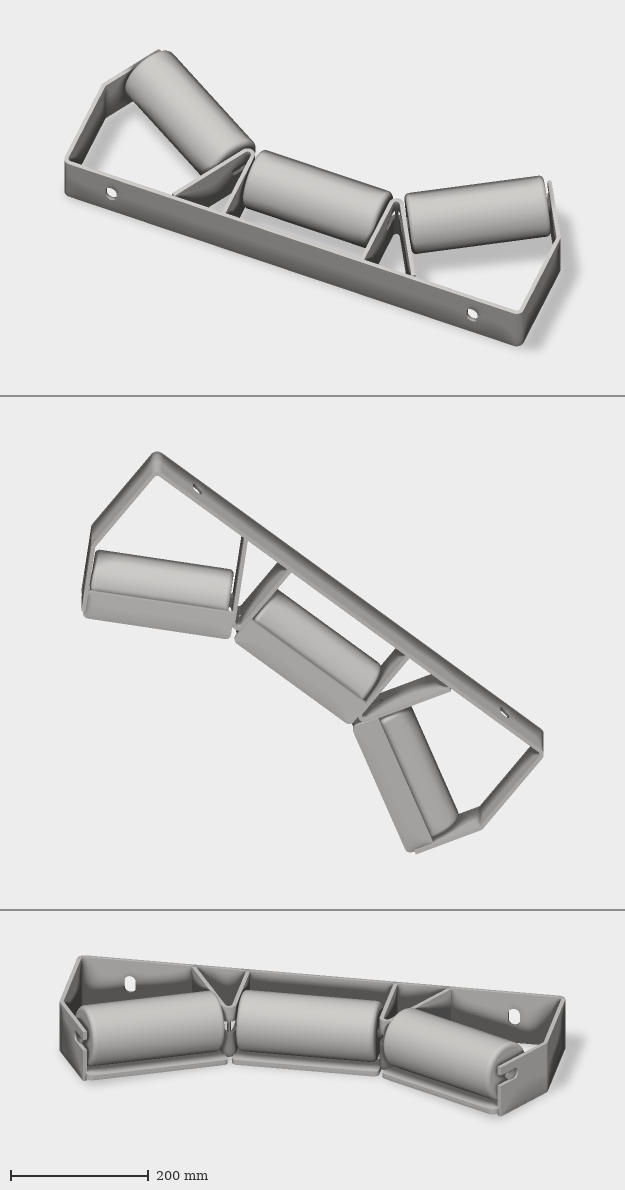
import cadquery as cq
import math

STRIP_HEIGHT = 80.0
STRIP_THICKNESS = 6.0
INNER_BEND_RADIUS = 5.0
OUTER_BEND_RADIUS = INNER_BEND_RADIUS + STRIP_THICKNESS

TROUGH_ANGLE = 30.0
WING_TILT = 2.6
SUPPORT_GAP = 212.0
MIDDLE_AXIS_Y = 101.0
MIDDLE_AXIS_Z = 48.0
WING_CENTRE_X = 225.0
WING_CENTRE_Y = 161.0
WING_CENTRE_Z = 53.0
SIDES = (-1, 0, 1)
WING_SIDES = (-1, 1)

ROLLER_RADIUS = 45.0
ROLLER_LENGTH = 203.0
ROLLER_EDGE_FILLET = 6.5
SHAFT_RADIUS = 10.0
SHAFT_FLAT_WIDTH = 14.0
SHAFT_LENGTH = 217.0

SHAFT_SLOT_WIDTH = 17.0
SHAFT_SLOT_REACH = 72.0

PLATE_LENGTH = SHAFT_LENGTH
PLATE_THICKNESS = 8.0
PLATE_BACK = 40.0
PLATE_FRONT = 1.5
PLATE_CORNER_RADIUS = 8.0
WING_PLATE_SHIFT = 2.0

FRAME_LENGTH = 720.0
FRAME_END_PAST_AXIS = 28.0
MOUNT_SLOT_SPACING = 567.0
MOUNT_SLOT_WIDTH = 17.0
MOUNT_SLOT_HEIGHT = 28.0
MOUNT_SLOT_Z = 41.0

SIN = math.sin(math.radians(TROUGH_ANGLE))
COS = math.cos(math.radians(TROUGH_ANGLE))
INNER_SUPPORT = SUPPORT_GAP / 2
OUTER_SUPPORT = INNER_SUPPORT + STRIP_THICKNESS
CUT_MARGIN = 1.5


def place(body, side):
    """Move a body built around the X axis to the middle, left or right roller."""
    if side == 0:
        return body.translate((0, MIDDLE_AXIS_Y, MIDDLE_AXIS_Z))
    tilted = body.rotate((0, 0, 0), (0, 1, 0), -side * WING_TILT)
    swung = tilted.rotate((0, 0, 0), (0, 0, 1), side * TROUGH_ANGLE)
    return swung.translate((side * WING_CENTRE_X, WING_CENTRE_Y, WING_CENTRE_Z))


def along_x(radius, length):
    """Cylinder centred on the origin with its axis along X."""
    return cq.Workplane("YZ", origin=(-length / 2, 0, 0)).circle(radius).extrude(length)


def make_roller():
    """Drum with rounded rims and a flatted shaft end on each side."""
    drum = along_x(ROLLER_RADIUS, ROLLER_LENGTH).edges().fillet(ROLLER_EDGE_FILLET)
    flats = cq.Workplane("XY").box(SHAFT_LENGTH, 2 * SHAFT_RADIUS, SHAFT_FLAT_WIDTH)
    shaft = along_x(SHAFT_RADIUS, SHAFT_LENGTH).intersect(flats)
    return drum.union(shaft)


def make_shaft_slot():
    """Cutter that clears the shaft through both supports and opens toward +Y."""
    length = 2 * (OUTER_SUPPORT + CUT_MARGIN)
    opening = (
        cq.Workplane("XY")
        .box(length, SHAFT_SLOT_REACH, SHAFT_SLOT_WIDTH)
        .translate((0, SHAFT_SLOT_REACH / 2, 0))
    )
    band = cq.Workplane("XY").box(length, 2 * SHAFT_RADIUS, SHAFT_SLOT_WIDTH)
    return opening.union(along_x(SHAFT_RADIUS, length).intersect(band))


def make_plate(side):
    """Plate touching the underside of the roller, with its +Y corners rounded."""
    centre_y = (PLATE_BACK - PLATE_FRONT) / 2
    centre_z = -ROLLER_RADIUS - PLATE_THICKNESS / 2
    return (
        cq.Workplane("XY")
        .box(PLATE_LENGTH, PLATE_BACK + PLATE_FRONT, PLATE_THICKNESS)
        .edges("|Z and >Y")
        .fillet(PLATE_CORNER_RADIUS)
        .translate((-side * WING_PLATE_SHIFT, centre_y, centre_z))
    )


def left_normal(start, end):
    """Unit vector to the left of the direction from start to end."""
    length = math.dist(start, end)
    return ((start[1] - end[1]) / length, (end[0] - start[0]) / length)


def inset_path(path):
    """Offset an open path to its left by the strip thickness."""
    normals = [left_normal(a, b) for a, b in zip(path, path[1:])]
    normals = [normals[0]] + normals + [normals[-1]]
    points = []
    for (x, y), before, after in zip(path, normals, normals[1:]):
        mitre = STRIP_THICKNESS / (1 + before[0] * after[0] + before[1] * after[1])
        points.append((x + mitre * (before[0] + after[0]), y + mitre * (before[1] + after[1])))
    return points


def bent_strip(outer):
    """Strip whose outer face follows an open plan path, with rounded bends."""
    inner = inset_path(outer)
    body = cq.Workplane("XY").polyline(outer + inner[::-1]).close().extrude(STRIP_HEIGHT)
    for points, radius in ((outer, OUTER_BEND_RADIUS), (inner, INNER_BEND_RADIUS)):
        for x, y in points[1:-1]:
            bend_edge = cq.selectors.NearestToPointSelector((x, y, STRIP_HEIGHT / 2))
            body = body.edges("|Z").edges(bend_edge).fillet(radius)
    return body


def wing_point(side, inward, forward):
    """Plan point measured from a wing roller's centre, along its axis and square to it."""
    x = WING_CENTRE_X - inward * COS - forward * SIN
    y = WING_CENTRE_Y - inward * SIN + forward * COS
    return (side * x, y)


def make_frame():
    """Long strip with its ends bent toward +Y and then inward, and two mounting slots."""
    half = FRAME_LENGTH / 2
    bend_forward = (WING_CENTRE_X + OUTER_SUPPORT * COS - half) / SIN
    path = []
    for side in WING_SIDES:
        tip = wing_point(side, -OUTER_SUPPORT, FRAME_END_PAST_AXIS)
        shoulder = wing_point(side, -OUTER_SUPPORT, bend_forward)
        corner = (side * half, 0)
        path += [tip, shoulder, corner][::-side]
    frame = bent_strip(path)
    mount_slots = (
        cq.Workplane("XZ")
        .pushPoints([(side * MOUNT_SLOT_SPACING / 2, MOUNT_SLOT_Z) for side in WING_SIDES])
        .slot2D(MOUNT_SLOT_HEIGHT, MOUNT_SLOT_WIDTH, 90)
        .extrude(-2 * STRIP_THICKNESS)
    )
    return frame.cut(mount_slots)


def make_bracket(side):
    """Folded strip: a slanted leg by a wing roller and a straight leg by the middle roller."""
    slant_foot_forward = (STRIP_THICKNESS - WING_CENTRE_Y + OUTER_SUPPORT * SIN) / COS
    apex_forward = (WING_CENTRE_X - INNER_SUPPORT * COS - INNER_SUPPORT) / SIN
    slant_foot = wing_point(side, INNER_SUPPORT, slant_foot_forward)
    apex = wing_point(side, INNER_SUPPORT, apex_forward)
    straight_foot = (side * INNER_SUPPORT, STRIP_THICKNESS)
    return bent_strip([slant_foot, apex, straight_foot][::side])


rollers = [place(make_roller(), side) for side in SIDES]
plates = [place(make_plate(side), side) for side in SIDES]
frame = make_frame()
brackets = [make_bracket(side) for side in WING_SIDES]

clearances = [place(make_shaft_slot(), side) for side in SIDES] + plates
for clearance in clearances:
    frame = frame.cut(clearance)
    brackets = [bracket.cut(clearance) for bracket in brackets]

bodies = [frame, *brackets, *rollers, *plates]
result = cq.Compound.makeCompound([body.solids().val() for body in bodies])